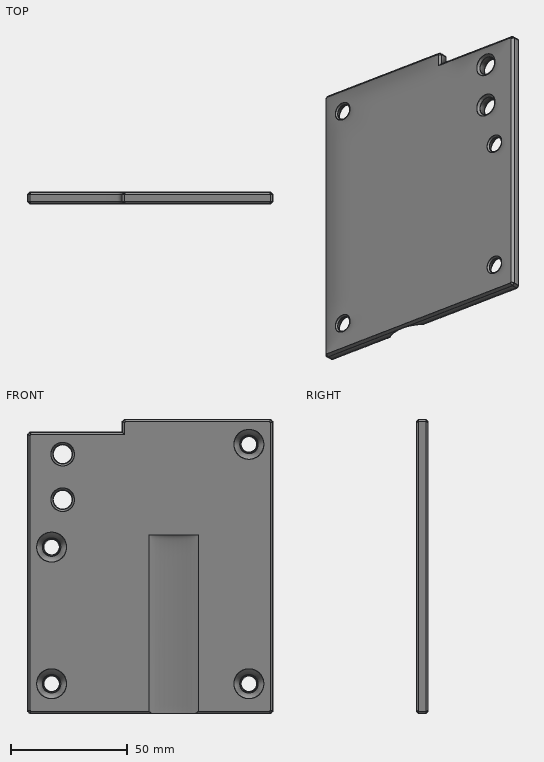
import cadquery as cq

plate_width = 105.0
plate_thickness = 5.0
plate_height = 126.0
step_width = 40.5
step_height = 120.5
edge_chamfer = 1.0

countersink_diameter = 12.8
countersink_end_diameter = 7.9
screw_throat_diameter = 6.7
screw_back_diameter = 8.1
screw_left_x = 10.25
screw_right_x = 94.75
screw_bottom_z = 12.8
screw_middle_z = 71.3
screw_top_z = 115.3
screw_positions = [
    (screw_left_x, screw_bottom_z),
    (screw_left_x, screw_middle_z),
    (screw_right_x, screw_bottom_z),
    (screw_right_x, screw_top_z),
]

straight_hole_diameter = 8.1
straight_hole_mouth_diameter = 10.1
straight_hole_x = 15.0
straight_hole_upper_z = 111.1
straight_hole_spacing = 19.5
straight_hole_positions = [
    (straight_hole_x, straight_hole_upper_z),
    (straight_hole_x, straight_hole_upper_z - straight_hole_spacing),
]

groove_center_x = 62.5
groove_width = 21.2
groove_depth = 4.0
groove_length = 76.5


def make_plate():
    """Stepped plate with its outer corners and both face outlines chamfered."""
    outline = [
        (0, 0),
        (plate_width, 0),
        (plate_width, plate_height),
        (step_width, plate_height),
        (step_width, step_height),
        (0, step_height),
    ]
    plate = cq.Workplane("XZ").polyline(outline).close().extrude(-plate_thickness)
    corner_edges = cq.selectors.ParallelDirSelector(cq.Vector(0, 1, 0))
    inner_corner = cq.selectors.NearestToPointSelector((step_width, plate_thickness / 2, step_height))
    plate = plate.edges(corner_edges - inner_corner).chamfer(edge_chamfer)
    return plate.faces("<Y or >Y").edges().chamfer(edge_chamfer)


def make_groove():
    """Circular segment running straight up from the bottom edge."""
    half_width = groove_width / 2
    return (
        cq.Workplane("XY")
        .moveTo(groove_center_x - half_width, 0)
        .threePointArc((groove_center_x, groove_depth), (groove_center_x + half_width, 0))
        .close()
        .extrude(groove_length)
    )


def cone_depth(wide_diameter, narrow_diameter):
    """Depth of a 90 degree cone between two diameters."""
    return (wide_diameter - narrow_diameter) / 2


def make_hole(front_diameter, front_end_diameter, throat_diameter, back_diameter):
    """Through hole on the Y axis: front cone, bore (straight or tapered), back cone."""
    front_end_y = cone_depth(front_diameter, front_end_diameter)
    throat_y = plate_thickness - cone_depth(back_diameter, throat_diameter)
    half_section = [
        (0, 0),
        (front_diameter / 2, 0),
        (front_end_diameter / 2, front_end_y),
        (throat_diameter / 2, throat_y),
        (back_diameter / 2, plate_thickness),
        (0, plate_thickness),
    ]
    return cq.Workplane("XY").polyline(half_section).close().revolve(360, (0, 0), (0, 1))


def cut_holes(plate, hole, positions):
    """Cut a copy of the hole at each (x, z) position."""
    for x, z in positions:
        plate = plate.cut(hole.translate((x, 0, z)))
    return plate


screw_hole = make_hole(
    countersink_diameter,
    countersink_end_diameter,
    screw_throat_diameter,
    screw_back_diameter,
)
straight_hole = make_hole(
    straight_hole_mouth_diameter,
    straight_hole_diameter,
    straight_hole_diameter,
    straight_hole_mouth_diameter,
)

result = make_plate().cut(make_groove())
result = cut_holes(result, screw_hole, screw_positions)
result = cut_holes(result, straight_hole, straight_hole_positions)